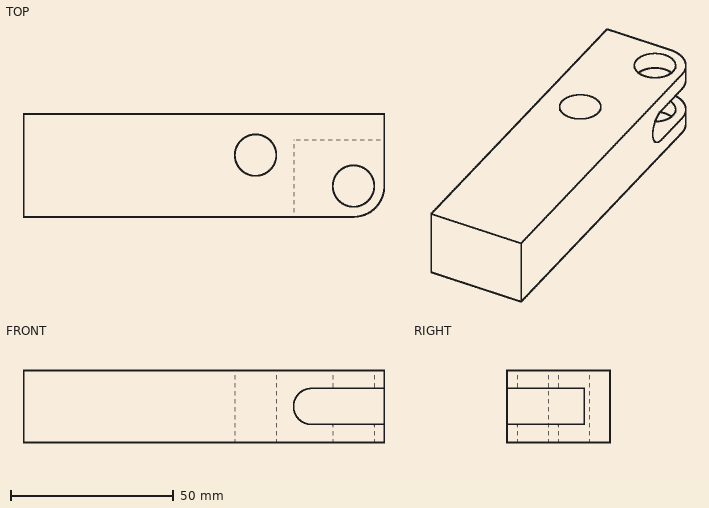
import cadquery as cq

length = 111.125
width = 31.75
height = 22.225

hole_diameter = 12.7
corner_radius = 9.525
pivot_center = (length - corner_radius, corner_radius)

bar_hole_from_end = 39.6875
bar_hole_from_back = 12.7
bar_hole_center = (length - bar_hole_from_end, width - bar_hole_from_back)

slot_height = height / 2
slot_length = 28.0
slot_back_wall = 7.9375
slot_depth = width - slot_back_wall


def make_bar():
    """Rectangular bar with one rounded vertical corner."""
    bar = cq.Workplane("XY").box(length, width, height, centered=False)
    return bar.edges("|Z and >X and <Y").fillet(corner_radius)


def make_slot():
    """Slot with a half-round inner end, cut inward from the front face."""
    slot_radius = slot_height / 2
    slot_end = length - slot_length
    arc_center = slot_end + slot_radius
    middle = height / 2
    top = middle + slot_radius
    bottom = middle - slot_radius
    return (
        cq.Workplane("XZ")
        .moveTo(length, top)
        .lineTo(arc_center, top)
        .threePointArc((slot_end, middle), (arc_center, bottom))
        .lineTo(length, bottom)
        .close()
        .extrude(-slot_depth)
    )


def make_holes():
    """Two vertical through holes of the same diameter."""
    return (
        cq.Workplane("XY")
        .pushPoints([pivot_center, bar_hole_center])
        .circle(hole_diameter / 2)
        .extrude(height)
    )


result = make_bar().cut(make_slot()).cut(make_holes())